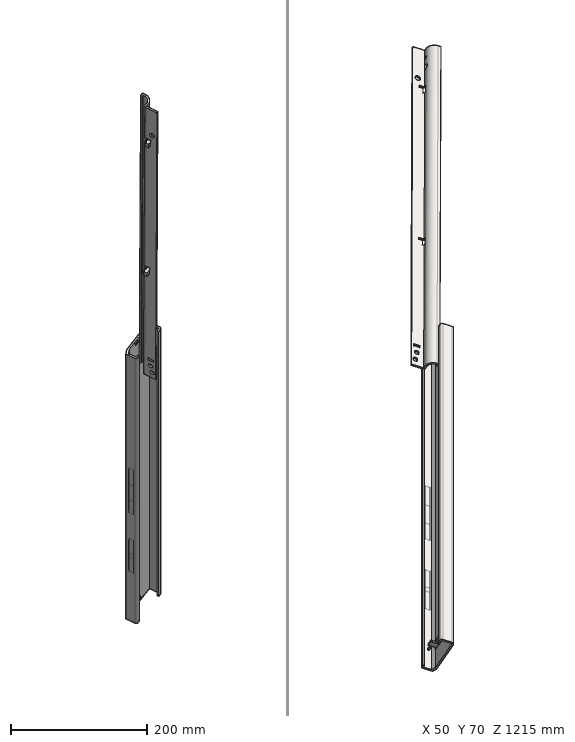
import cadquery as cq
import math

TOTAL_HEIGHT = 1215.0
RAIL_LENGTH = 632.0
OVERALL_WIDTH = 50.0
OUTER_DEPTH = 70.0
SHEET = 3.0
INNER_START = TOTAL_HEIGHT - RAIL_LENGTH

BOSS_HEIGHT = 4.3
WALL_X = BOSS_HEIGHT
WALL_INSIDE_X = WALL_X + SHEET
LIP_X = 27.0
LIP_LENGTH = 9.0
LIP_CORNER_RADIUS = 4.0
BACK_CORNER_RADIUS = 4.3
FLANGE_Y = 1.0
FRONT_BEVEL_WIDTH = 3.0
FRONT_BEVEL_DEPTH = 7.0

BOSSES = [
    (38.0, 599.0, 16.0, 7.0),
    (44.0, 30.0, 13.0, 9.0),
]
RAMP_REACH = 12.0
BOSS_HOLE_DIAMETER = 5.0

WALL_OPENINGS = [
    (47.0, 614.0, 6.0, 6.0),
    (33.0, 623.0, 7.0, 4.0),
]

WINDOW_Y = 18.0
WINDOW_WIDTH = 17.0
WINDOW_BOTTOM = 36.0
WINDOW_HEIGHT = 18.0
TAB_WIDTH = 9.0
TAB_SETBACK = 1.0
TAB_TIP_X = 21.0
TAB_LEG_X = 15.0
TAB_LEG_THICKNESS = 2.0

PRESSINGS = [
    (258.0, 290.0, 327.0, 363.0),
    (118.0, 154.0, 163.0, 196.0),
]
PRESSING_X = 17.0
PRESSING_WIDTH = 9.0
PRESSING_DEPTH = FLANGE_Y

INNER_TILT = 0.35
INNER_Y = 16.0
INNER_DEPTH = 21.0
TILT_DROP = INNER_DEPTH * math.sin(math.radians(INNER_TILT))
INNER_LENGTH = (RAIL_LENGTH - TILT_DROP) / math.cos(math.radians(INNER_TILT))
ARM_TIP_X = 12.0
ARM_LIP_LENGTH = 5.5
WEB_X = 30.0
ARM_BEND_RADIUS = 13.0
FLANGE_BEND_RADIUS = 4.0

FLANGE_HOLES = [
    (41.0, 572.0, 9.0),
    (41.0, 27.0, 7.0),
    (44.0, 12.0, 7.0),
]
SLOT_X = 41.0
SLOT_ALONG = 40.0
SLOT_WIDTH = 10.0
SLOT_HEIGHT = 4.0
WEB_HOLES = [
    (597.0, 9.0),
    (615.0, 5.0),
]
WEB_HOLE_Y = 6.0

NOTCHES = [
    (553.0, 5.0),
    (250.0, 7.0),
]
NOTCH_LEFT = 25.0
NOTCH_RIGHT = 39.0
NOTCH_HEIGHT = 12.0
NOTCH_DEPTH = 6.0
HOOK_LEFT = 33.0
HOOK_HEIGHT = 9.0


def block(x_range, y_range, z_range):
    """Box between the given limits along each axis."""
    (x0, x1), (y0, y1), (z0, z1) = x_range, y_range, z_range
    return cq.Workplane("XY").box(x1 - x0, y1 - y0, z1 - z0, centered=False).translate((x0, y0, z0))


def along_x(x, y, z, diameter, length):
    """Cylinder that starts at (x, y, z) and runs in +X."""
    axis = cq.Vector(1, 0, 0)
    return cq.Workplane(cq.Solid.makeCylinder(diameter / 2, length, cq.Vector(x, y, z), axis))


def outer_channel():
    """Lipped C channel: outer outline less its cavity and the mouth between the lips."""
    body = block((WALL_X, LIP_X), (FLANGE_Y, OUTER_DEPTH), (0, RAIL_LENGTH))
    body = body.edges("|Z and >X").fillet(LIP_CORNER_RADIUS)
    body = body.edges("|Z and <X and >Y").fillet(BACK_CORNER_RADIUS)
    bevel = (
        cq.Workplane("XY")
        .moveTo(WALL_X, FLANGE_Y)
        .lineTo(WALL_X + FRONT_BEVEL_WIDTH, FLANGE_Y)
        .lineTo(WALL_X, FLANGE_Y + FRONT_BEVEL_DEPTH)
        .close()
        .extrude(RAIL_LENGTH)
    )
    flange_inside_y = FLANGE_Y + SHEET
    cavity = (
        cq.Workplane("XY")
        .moveTo(WALL_INSIDE_X + FRONT_BEVEL_WIDTH, flange_inside_y)
        .lineTo(LIP_X - SHEET, flange_inside_y)
        .lineTo(LIP_X - SHEET, OUTER_DEPTH - SHEET)
        .lineTo(WALL_INSIDE_X, OUTER_DEPTH - SHEET)
        .lineTo(WALL_INSIDE_X, flange_inside_y + FRONT_BEVEL_DEPTH)
        .close()
        .extrude(RAIL_LENGTH)
    )
    mouth = block(
        (LIP_X - 2 * SHEET, LIP_X), (LIP_LENGTH, OUTER_DEPTH - LIP_LENGTH), (0, RAIL_LENGTH)
    )
    return body.cut(bevel).cut(cavity).cut(mouth)


def wall_boss(y, z, diameter, ramp_height):
    """Round boss with a blind center hole and a ramp that falls to the wall toward +Y."""
    boss = along_x(0, y, z, diameter, BOSS_HEIGHT)
    ramp = (
        cq.Workplane("XY")
        .moveTo(0, y)
        .lineTo(WALL_X, y)
        .lineTo(WALL_X, y + RAMP_REACH)
        .close()
        .extrude(ramp_height)
        .translate((0, 0, z - ramp_height / 2))
    )
    return boss.union(ramp).cut(along_x(0, y, z, BOSS_HOLE_DIAMETER, BOSS_HEIGHT))


def wall_opening(y, z, width, height):
    return block(
        (WALL_X, WALL_INSIDE_X), (y - width / 2, y + width / 2), (z - height / 2, z + height / 2)
    )


def window_tab():
    """Tab bent inward from the window's lower edge, with a leg down to the front flange."""
    tab_front = WINDOW_Y - TAB_WIDTH / 2
    tab_z = (WINDOW_BOTTOM, WINDOW_BOTTOM + SHEET)
    tab = block((WALL_X + TAB_SETBACK, TAB_TIP_X), (tab_front, tab_front + TAB_WIDTH), tab_z)
    leg = block((TAB_LEG_X, TAB_LEG_X + TAB_LEG_THICKNESS), (FLANGE_Y + SHEET / 2, tab_front), tab_z)
    return tab.union(leg)


def pressing(bottom, crest_bottom, crest_top, top, face_y):
    """Shallow trapezoidal strip whose base lies at face_y and whose crest lies toward -Y."""
    return (
        cq.Workplane("YZ")
        .moveTo(face_y, bottom)
        .lineTo(face_y - PRESSING_DEPTH, crest_bottom)
        .lineTo(face_y - PRESSING_DEPTH, crest_top)
        .lineTo(face_y, top)
        .close()
        .extrude(PRESSING_WIDTH)
        .translate((PRESSING_X - PRESSING_WIDTH / 2, 0, 0))
    )


def make_outer_rail():
    rail = outer_channel()
    for boss in BOSSES:
        rail = rail.union(wall_boss(*boss))
    for opening in WALL_OPENINGS:
        rail = rail.cut(wall_opening(*opening))
    rail = rail.cut(wall_opening(WINDOW_Y, WINDOW_BOTTOM + WINDOW_HEIGHT / 2, WINDOW_WIDTH, WINDOW_HEIGHT))
    rail = rail.union(window_tab())
    for levels in PRESSINGS:
        rail = rail.union(pressing(*levels, FLANGE_Y)).cut(pressing(*levels, FLANGE_Y + SHEET))
    return rail


def inner_profile():
    """Constant section of the inner rail, with its flange face on Y = 0."""
    web_inside = WEB_X - SHEET
    arm_inside = INNER_DEPTH - SHEET
    bend_x = WEB_X - ARM_BEND_RADIUS
    bend_y = INNER_DEPTH - ARM_BEND_RADIUS
    diagonal = math.sqrt(0.5)
    outer_mid = ARM_BEND_RADIUS * diagonal
    inner_mid = (ARM_BEND_RADIUS - SHEET) * diagonal
    foot_mid = FLANGE_BEND_RADIUS * (1 - diagonal)
    return (
        cq.Workplane("XY")
        .moveTo(OVERALL_WIDTH, 0)
        .lineTo(OVERALL_WIDTH, SHEET)
        .lineTo(WEB_X, SHEET)
        .lineTo(WEB_X, bend_y)
        .threePointArc((bend_x + outer_mid, bend_y + outer_mid), (bend_x, INNER_DEPTH))
        .lineTo(ARM_TIP_X, INNER_DEPTH)
        .lineTo(ARM_TIP_X, INNER_DEPTH - ARM_LIP_LENGTH)
        .lineTo(ARM_TIP_X + SHEET, INNER_DEPTH - ARM_LIP_LENGTH)
        .lineTo(ARM_TIP_X + SHEET, arm_inside)
        .lineTo(bend_x, arm_inside)
        .threePointArc((bend_x + inner_mid, bend_y + inner_mid), (web_inside, bend_y))
        .lineTo(web_inside, FLANGE_BEND_RADIUS)
        .threePointArc(
            (web_inside + foot_mid, foot_mid), (web_inside + FLANGE_BEND_RADIUS, 0)
        )
        .close()
    )


def flange_hole(x, along, diameter):
    axis = cq.Vector(0, 1, 0)
    return cq.Workplane(cq.Solid.makeCylinder(diameter / 2, SHEET, cq.Vector(x, 0, along), axis))


def notch(along):
    return block(
        (NOTCH_LEFT, NOTCH_RIGHT),
        (0, NOTCH_DEPTH),
        (along - NOTCH_HEIGHT / 2, along + NOTCH_HEIGHT / 2),
    )


def notch_hook(along, reach):
    """Tab that stands out from the lower edge of a notch."""
    notch_bottom = along - NOTCH_HEIGHT / 2
    return block(
        (HOOK_LEFT, NOTCH_RIGHT), (-reach, SHEET), (notch_bottom, notch_bottom + HOOK_HEIGHT)
    )


def make_inner_rail():
    rail = inner_profile().extrude(INNER_LENGTH)
    for hole in FLANGE_HOLES:
        rail = rail.cut(flange_hole(*hole))
    slot_x = (SLOT_X - SLOT_WIDTH / 2, SLOT_X + SLOT_WIDTH / 2)
    slot_z = (SLOT_ALONG - SLOT_HEIGHT / 2, SLOT_ALONG + SLOT_HEIGHT / 2)
    rail = rail.cut(block(slot_x, (0, SHEET), slot_z))
    for along, diameter in WEB_HOLES:
        rail = rail.cut(along_x(WEB_X - SHEET, WEB_HOLE_Y, along, diameter, SHEET))
    for along, reach in NOTCHES:
        rail = rail.cut(notch(along)).union(notch_hook(along, reach))
    rail = rail.rotate((0, 0, 0), (1, 0, 0), -INNER_TILT)
    return rail.translate((0, INNER_Y, INNER_START + TILT_DROP))


outer_rail = make_outer_rail()
inner_rail = make_inner_rail()

result = cq.Compound.makeCompound([outer_rail.val(), inner_rail.val()])